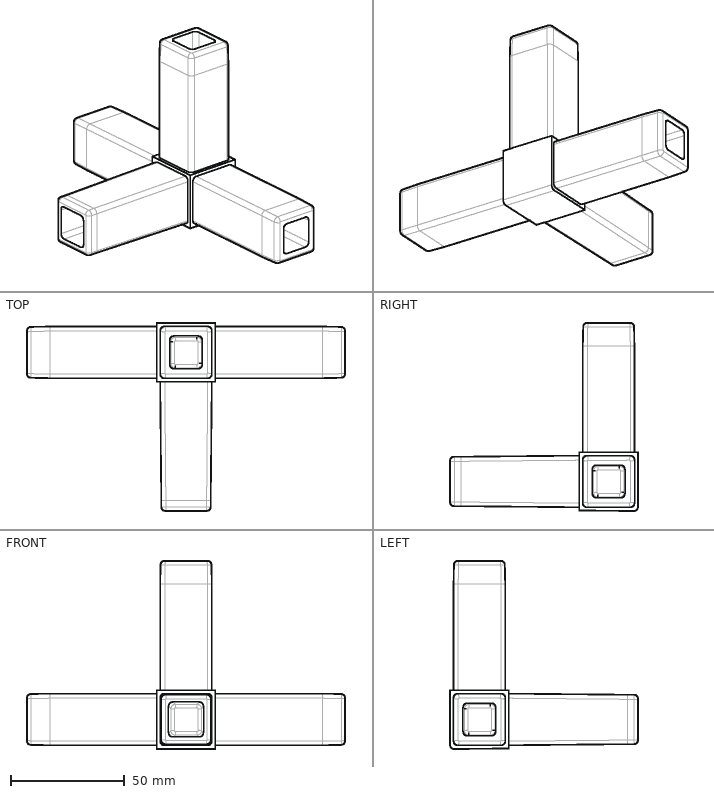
import cadquery as cq

hub_size = 26.0
hub_bottom_slope = 0.3
hub_back_radius = 2.0

length_x = 140.2
length_y = 82.9
length_z = 83.0

arm_size = 22.9
side_tip_size = 22.5
front_tip_size = 21.9
side_tip_length = 10.1
front_tip_length = 4.8
edge_radius = 2.0
tip_radius = 1.8

side_socket_size = 14.5
front_socket_size = 15.4
socket_floor_size = 13.5
socket_radius = 2.0
floor_radius = 1.5

half_hub = hub_size / 2
side_arm_length = (length_x - hub_size) / 2
front_arm_length = length_y - hub_size
upright_arm_length = length_z - hub_size - hub_bottom_slope / 2


def rounded_square(size, radius, z):
    square = cq.Sketch().rect(size, size).vertices().fillet(radius)
    return square.moved(cq.Location(cq.Vector(0, 0, z)))


def square_loft(start_size, end_size, radius, start_z, end_z):
    """Rounded square bar along Z whose section changes evenly from one size to the other."""
    start = rounded_square(start_size, radius, start_z)
    end = rounded_square(end_size, radius, end_z)
    return cq.Workplane("XY").placeSketch(start, end).loft(ruled=True)


def socketed_arm(length, root_size, middle_size, tip_size, tip_length, socket_size):
    """Arm pointing along +Z from the hub centre, open at its tip."""
    tip_z = half_hub + length
    break_z = tip_z - tip_length
    body = square_loft(root_size, middle_size, edge_radius, half_hub, break_z)
    tip = square_loft(middle_size, tip_size, edge_radius, break_z, tip_z)
    tip = tip.faces(">Z").edges().fillet(tip_radius)
    socket = square_loft(socket_floor_size, socket_size, socket_radius, half_hub, tip_z)
    socket = socket.faces("<Z").edges().fillet(floor_radius)
    return body.union(tip).cut(socket)


def side_arm(length):
    return socketed_arm(length, arm_size, arm_size, side_tip_size, side_tip_length, side_socket_size)


def make_hub():
    """Block with a slightly sloping underside and a rounded lower back edge."""
    bottom_back = -half_hub - hub_bottom_slope / 2
    bottom_front = -half_hub + hub_bottom_slope / 2
    outline = [
        (half_hub, half_hub),
        (-half_hub, half_hub),
        (-half_hub, bottom_front),
        (half_hub, bottom_back),
    ]
    block = cq.Workplane("YZ").polyline(outline).close().extrude(half_hub, both=True)
    return block.edges("|X").edges(">Y and <Z").fillet(hub_back_radius)


origin = (0, 0, 0)
upright_arm = side_arm(upright_arm_length)
right_arm = side_arm(side_arm_length).rotate(origin, (0, 1, 0), 90)
left_arm = side_arm(side_arm_length).rotate(origin, (0, 1, 0), -90)
front_arm = socketed_arm(
    front_arm_length, arm_size, front_tip_size, front_tip_size, front_tip_length, front_socket_size
).rotate(origin, (1, 0, 0), 90)

result = make_hub().union(upright_arm).union(right_arm).union(left_arm).union(front_arm)